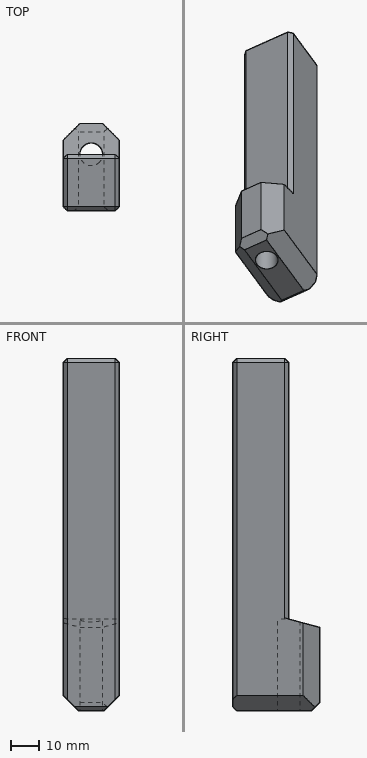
import cadquery as cq
import math

width = 20.0
bar_depth = 20.0
total_depth = 31.0
height = 125.0

foot_back_height = 29.6
foot_slope = 15.0

edge_chamfer = 1.5
foot_chamfer = 6.0
bottom_side_chamfer = 5.5
heel_chamfer = 3.0

hole_diameter = 8.0


def foot_top_at(y):
    """Height of the sloping foot top at depth y."""
    return foot_back_height + (total_depth - y) * math.tan(math.radians(foot_slope))


def make_bar():
    """Square bar with small chamfers on its upright and top edges."""
    bar = cq.Workplane("XY").rect(width, bar_depth).extrude(height)
    bar = bar.edges("|Z or >Z").chamfer(edge_chamfer)
    return bar.translate((0, bar_depth / 2, 0))


def make_foot():
    """Foot block under a sloping top, with wide chamfers on its back corners."""
    foot_front = bar_depth / 2
    plan = [
        (-width / 2, foot_front),
        (width / 2, foot_front),
        (width / 2, total_depth - foot_chamfer),
        (width / 2 - foot_chamfer, total_depth),
        (-width / 2 + foot_chamfer, total_depth),
        (-width / 2, total_depth - foot_chamfer),
    ]
    profile = [
        (foot_front, 0),
        (total_depth, 0),
        (total_depth, foot_back_height),
        (foot_front, foot_top_at(foot_front)),
    ]
    block = cq.Workplane("XY").polyline(plan).close().extrude(height)
    side = cq.Workplane("YZ").polyline(profile).close().extrude(width / 2, both=True)
    return block.intersect(side)


def make_bottom_envelope():
    """Block whose chamfered lower edges shape the underside of bar and foot."""
    front_outline = [
        (-width / 2 + bottom_side_chamfer, 0),
        (width / 2 - bottom_side_chamfer, 0),
        (width / 2, bottom_side_chamfer),
        (width / 2, height),
        (-width / 2, height),
        (-width / 2, bottom_side_chamfer),
    ]
    side_outline = [
        (edge_chamfer, 0),
        (total_depth - heel_chamfer, 0),
        (total_depth, heel_chamfer),
        (total_depth, height),
        (0, height),
        (0, edge_chamfer),
    ]
    front = cq.Workplane("XZ").polyline(front_outline).close().extrude(-total_depth)
    side = cq.Workplane("YZ").polyline(side_outline).close().extrude(width / 2, both=True)
    return front.intersect(side)


def make_hole():
    """Hole ending level with the top of the slope at the back of the bar."""
    hole = cq.Workplane("XY").center(0, bar_depth).circle(hole_diameter / 2)
    return hole.extrude(foot_top_at(bar_depth))


result = make_bar().union(make_foot()).intersect(make_bottom_envelope()).cut(make_hole())